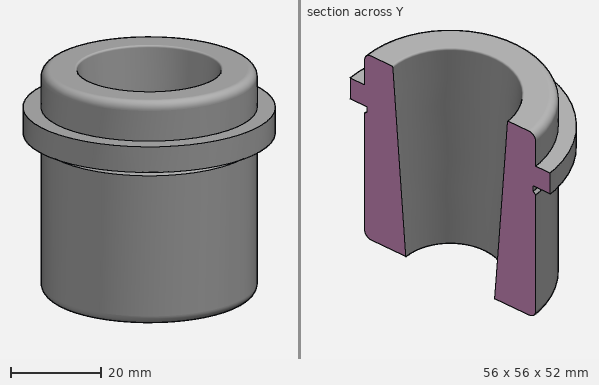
import math

import cadquery as cq

total_height = 52.0
head_height = 9.0
flange_thickness = 6.0
groove_width = 1.4

body_radius = 24.0
flange_radius = 28.0
groove_depth = 0.7
rim_fillet = 2.0

bore_mouth_radius = 16.0
bore_taper_angle = 4.0
bore_rim_fillet = 0.5

flange_top = total_height - head_height
flange_bottom = flange_top - flange_thickness
groove_bottom = flange_bottom - groove_width
body_top = groove_bottom - groove_depth
groove_radius = body_radius - groove_depth
bore_exit_radius = bore_mouth_radius - total_height * math.tan(math.radians(bore_taper_angle))


def make_bushing():
    """Revolve the half section of the bushing about the Z axis."""
    section = [
        (bore_exit_radius, 0),
        (body_radius, 0),
        (body_radius, body_top),
        (groove_radius, groove_bottom),
        (groove_radius, flange_bottom),
        (flange_radius, flange_bottom),
        (flange_radius, flange_top),
        (body_radius, flange_top),
        (body_radius, total_height),
        (bore_mouth_radius, total_height),
    ]
    return cq.Workplane("XZ").polyline(section).close().revolve(360, (0, 0, 0), (0, 1, 0))


def round_rims(bushing):
    """Round the outer rim at both ends and the mouth of the bore."""
    outer_rim = cq.selectors.RadiusNthSelector(-1)
    bore_rim = cq.selectors.RadiusNthSelector(0)
    bushing = bushing.faces(">Z").edges(outer_rim).fillet(rim_fillet)
    bushing = bushing.faces("<Z").edges(outer_rim).fillet(rim_fillet)
    return bushing.faces(">Z").edges(bore_rim).fillet(bore_rim_fillet)


result = round_rims(make_bushing())